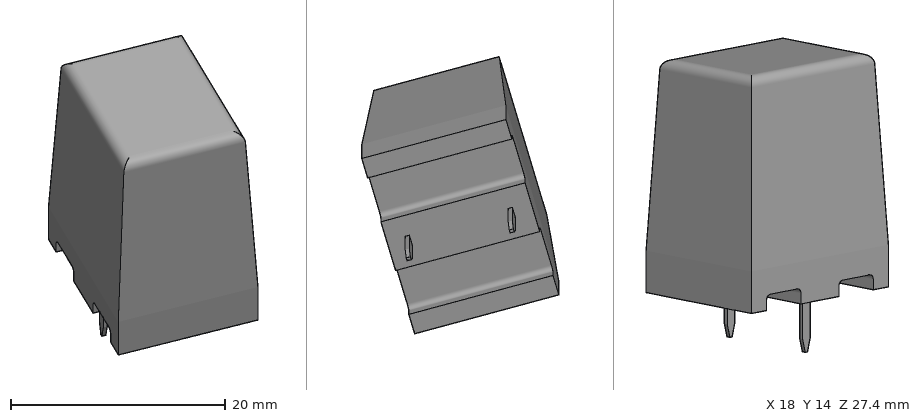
import cadquery as cq
import math

length = 18.0
width = 14.0
body_height = 22.2
base_height = 4.0

draft = math.radians(3)
round_radius = 1.0

notch_length = 4.5
notch_height = 1.5
notch_pitch = 9.5
notch_corner_radius = 0.5

pin_length = 5.2
pin_width = 1.0
pin_thickness = 0.4
pin_tip_width = 0.3
pin_tip_height = 1.3
pin_pitch = 10.0


def make_base():
    """Straight-walled block, standing on Z = 0."""
    return cq.Workplane("XY").box(length, width, base_height, centered=(True, True, False))


def make_wedge(half_base, depth):
    """Cover cross-section (leaning walls, rounded top edges), extruded along Y."""
    center_z = body_height - round_radius
    tangent_z = center_z + round_radius * math.sin(draft)
    tangent_x = half_base - (tangent_z - base_height) * math.tan(draft)
    center_x = tangent_x - round_radius * math.cos(draft)
    mid_angle = (draft + math.pi / 2) / 2
    mid_x = center_x + round_radius * math.cos(mid_angle)
    mid_z = center_z + round_radius * math.sin(mid_angle)
    return (
        cq.Workplane("XZ")
        .moveTo(-half_base, base_height)
        .lineTo(half_base, base_height)
        .lineTo(tangent_x, tangent_z)
        .threePointArc((mid_x, mid_z), (center_x, body_height))
        .lineTo(-center_x, body_height)
        .threePointArc((-mid_x, mid_z), (-tangent_x, tangent_z))
        .close()
        .extrude(depth / 2, both=True)
    )


def make_cover():
    """Two crossed wedges; their overlap leans on all four sides and has mitred rounds on top."""
    along_x = make_wedge(length / 2, width)
    along_y = make_wedge(width / 2, length).rotate((0, 0, 0), (0, 0, 1), 90)
    return along_x.intersect(along_y)


def make_notch(center_x):
    """Cutter for one notch, running through the base along Y."""
    return (
        cq.Workplane("XY")
        .center(center_x, 0)
        .box(notch_length, width, notch_height, centered=(True, True, False))
        .edges("|Y and >Z")
        .fillet(notch_corner_radius)
    )


def make_pin(center_y):
    """Flat pin with a tapered tip, hanging from the underside of the base."""
    half_width = pin_width / 2
    half_tip = pin_tip_width / 2
    return (
        cq.Workplane("XZ")
        .polyline([
            (-half_width, 0),
            (half_width, 0),
            (half_width, pin_tip_height - pin_length),
            (half_tip, -pin_length),
            (-half_tip, -pin_length),
            (-half_width, pin_tip_height - pin_length),
        ])
        .close()
        .extrude(pin_thickness / 2, both=True)
        .translate((0, center_y, 0))
    )


result = make_base().union(make_cover())
for side in (-1, 1):
    result = result.cut(make_notch(side * notch_pitch / 2))
    result = result.union(make_pin(side * pin_pitch / 2))